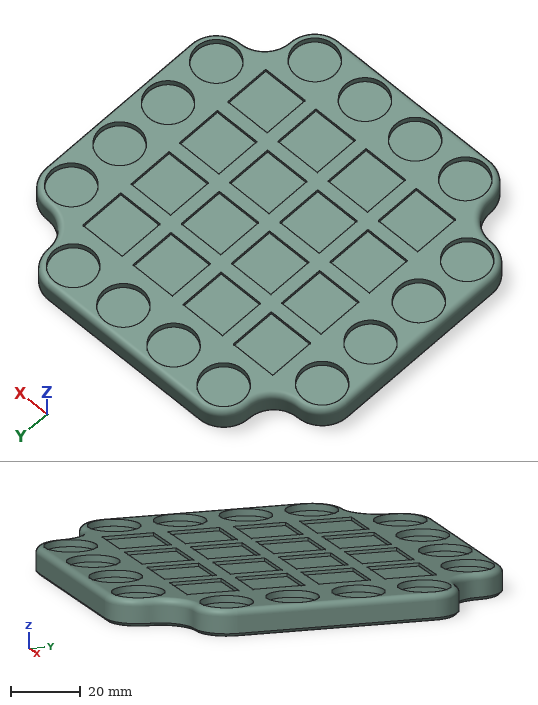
import cadquery as cq

side = 120.0
thickness = 8.0
cells_per_side = 6
inner_cells = cells_per_side - 2
pitch = side / cells_per_side

arc_radius = pitch / 2
top_fillet = 2.0
bottom_chamfer = 1.0

round_diameter = 15.4
round_depth = 2.0
square_side = 15.7
square_depth = 1.0


def quarter_turns(point, turns):
    """Rotate a point about the plate centre by a number of counter-clockwise quarter turns."""
    x, y = point
    for _ in range(turns):
        x, y = -y, x
    return x, y


def plate():
    """Square plate whose corners are S-shaped notches: rounded, scooped, rounded."""
    half = side / 2
    inset = half - arc_radius
    notch = half - pitch
    shoulder = notch - arc_radius
    outline = cq.Workplane("XY").moveTo(half, -shoulder)
    for turn in range(4):
        straight_end = quarter_turns((half, shoulder), turn)
        first_round_end = quarter_turns((inset, notch), turn)
        scoop_end = quarter_turns((notch, inset), turn)
        second_round_end = quarter_turns((shoulder, half), turn)
        outline = (
            outline.lineTo(*straight_end)
            .radiusArc(first_round_end, -arc_radius)
            .radiusArc(scoop_end, arc_radius)
            .radiusArc(second_round_end, -arc_radius)
        )
    body = outline.close().extrude(thickness)
    body = body.faces(">Z").edges().fillet(top_fillet)
    return body.faces("<Z").edges().chamfer(bottom_chamfer)


def round_recesses():
    """A row of shallow discs along each side of the plate."""
    edge_distance = side / 2 - pitch / 2
    centers = []
    for turn in range(4):
        for index in range(inner_cells):
            along = (index - (inner_cells - 1) / 2) * pitch
            centers.append(quarter_turns((edge_distance, along), turn))
    top_plane = cq.Workplane("XY").workplane(offset=thickness)
    return top_plane.pushPoints(centers).circle(round_diameter / 2).extrude(-round_depth)


def square_recesses():
    """A square grid of shallow square pockets in the middle of the plate."""
    top_plane = cq.Workplane("XY").workplane(offset=thickness)
    grid = top_plane.rarray(pitch, pitch, inner_cells, inner_cells)
    return grid.rect(square_side, square_side).extrude(-square_depth)


result = plate().cut(round_recesses()).cut(square_recesses())